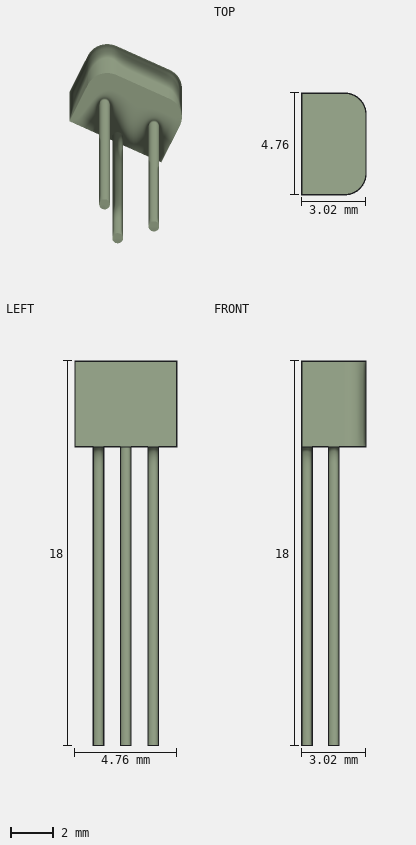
import cadquery as cq

total_height = 17.98
body_depth = 3.02
body_width = 4.76
body_height = 4.01
corner_radius = 1.0

lead_diameter = 0.5
lead_pitch = 1.28
lead_row_offset = 1.25
lead_length = total_height - body_height

middle_lead_x = lead_diameter / 2
outer_lead_x = middle_lead_x + lead_row_offset
lead_positions = [
    (outer_lead_x, -lead_pitch),
    (middle_lead_x, 0),
    (outer_lead_x, lead_pitch),
]


def make_body():
    """Block with its flat face at X = 0, its underside at Z = 0 and rounded +X corners."""
    block = cq.Workplane("XY").box(body_depth, body_width, body_height, centered=(False, True, False))
    return block.edges("|Z and >X").fillet(corner_radius)


def make_leads():
    """Three round leads hanging below the body."""
    return cq.Workplane("XY").pushPoints(lead_positions).circle(lead_diameter / 2).extrude(-lead_length)


result = make_body().union(make_leads())